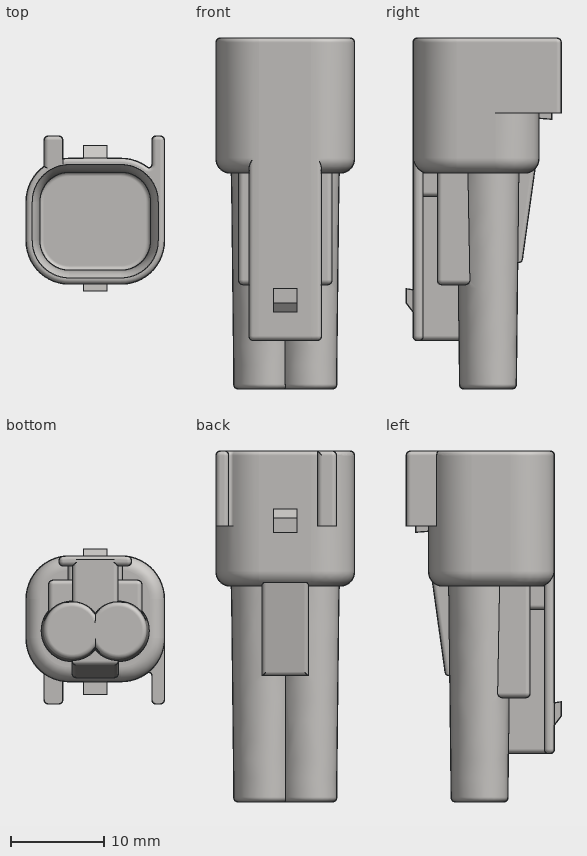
import cadquery as cq
import math

TOTAL_HEIGHT = 37.7
EDGE_RADIUS = 0.5
OVERLAP = 0.38

CUP_SIZE_X = 14.9
CUP_SIZE_Y = 13.55
CUP_HALF_X = CUP_SIZE_X / 2
CUP_HALF_Y = CUP_SIZE_Y / 2
CUP_CORNER_RADIUS = 4.67
CUP_BOTTOM = 23.2
CUP_BOTTOM_RADIUS = 1.55

WALL = 1.5
CAVITY_HALF_X = CUP_HALF_X - WALL
CAVITY_HALF_Y = CUP_HALF_Y - WALL
CAVITY_CORNER_RADIUS = CUP_CORNER_RADIUS - WALL
CAVITY_FLOOR = 24.3
FLOOR_RADIUS = 0.45
FLARE_WIDTH = 0.83
FLARE_RADIUS = 4.55

EAR_BACK = 9.15
EAR_FRONT = CUP_HALF_Y - CUP_CORNER_RADIUS
EAR_BOTTOM = 29.65
EAR_ROOT_RADIUS = 0.3
LEFT_EAR_X = (-5.5, -3.45)
RIGHT_EAR_X = (6.07, CUP_HALF_X)

SLEEVE_OFFSET_X = 2.5
SLEEVE_Y = 1.3
SLEEVE_BOTTOM_RADIUS = 3.05
SLEEVE_TOP_RADIUS = 3.3

PLATE_HALF_WIDTH = 3.9
PLATE_THICKNESS = 1.1
PLATE_BOTTOM = 5.2
PLATE_EDGE_RADIUS = 0.45
WEB_HALF_WIDTH = 2.45
WEB_HEAD_HALF_WIDTH = 2.9
WEB_HEAD_BOTTOM = 20.7
WEB_HEAD_EDGE_RADIUS = 0.4

CROSSBAR_HALF_WIDTH = 5.0
CROSSBAR_FRONT = -4.15
CROSSBAR_BACK = -0.45
CROSSBAR_BOTTOM = 11.2

WEDGE_HALF_WIDTH = SLEEVE_OFFSET_X
WEDGE_TOP_Y = 6.35
WEDGE_TOP = CUP_BOTTOM + OVERLAP
WEDGE_BOTTOM_Y = 4.95
WEDGE_BOTTOM = 13.57
WEDGE_EDGE_RADIUS = 0.45

LATCH_HALF_WIDTH = 1.3
LATCH_UNDERCUT = 0.1
LATCH_FLAT = 1.55
LATCH_RAMP = 0.98
FRONT_LATCH_TIP_Y = -7.5
FRONT_LATCH_TIP_Z = 10.8
REAR_LATCH_TIP_Y = 8.15
REAR_LATCH_TIP_Z = 28.95


def box(x_range, y_range, z_range):
    size = [high - low for low, high in (x_range, y_range, z_range)]
    corner = (x_range[0], y_range[0], z_range[0])
    return cq.Workplane("XY").box(*size, centered=False).translate(corner)


def symmetric_box(half_width, y_range, z_range):
    return box((-half_width, half_width), y_range, z_range)


def rounded_block(half_x, half_y, radius, bottom, top):
    block = symmetric_box(half_x, (-half_y, half_y), (bottom, top))
    return block.edges("|Z").fillet(radius)


def side_prism(points, half_width):
    """Prism along X, symmetric about X = 0, with a (y, z) outline."""
    return cq.Workplane("YZ").polyline(points).close().extrude(half_width, both=True)


def make_cup():
    cup = rounded_block(CUP_HALF_X, CUP_HALF_Y, CUP_CORNER_RADIUS, CUP_BOTTOM, TOTAL_HEIGHT)
    return cup.faces("<Z").edges().fillet(CUP_BOTTOM_RADIUS)


def make_ear(x_range):
    return box(x_range, (EAR_FRONT, EAR_BACK), (EAR_BOTTOM, TOTAL_HEIGHT))


def make_flare():
    """Bell-mouth ring that widens the cavity towards the rim."""
    depth = math.sqrt(FLARE_RADIUS**2 - (FLARE_RADIUS - FLARE_WIDTH) ** 2)
    start_z = TOTAL_HEIGHT - depth
    half_angle = math.asin(depth / FLARE_RADIUS) / 2
    arc_middle = (
        CAVITY_HALF_X + FLARE_RADIUS * (1 - math.cos(half_angle)),
        start_z + FLARE_RADIUS * math.sin(half_angle),
    )
    wall_block = rounded_block(
        CAVITY_HALF_X, CAVITY_HALF_Y, CAVITY_CORNER_RADIUS, start_z, TOTAL_HEIGHT
    )
    path = wall_block.faces("<Z").wires()
    profile = (
        cq.Workplane("XZ")
        .moveTo(CAVITY_HALF_X - OVERLAP, start_z)
        .lineTo(CAVITY_HALF_X, start_z)
        .threePointArc(arc_middle, (CAVITY_HALF_X + FLARE_WIDTH, TOTAL_HEIGHT))
        .lineTo(CAVITY_HALF_X - OVERLAP, TOTAL_HEIGHT)
        .close()
    )
    return profile.sweep(path)


def make_cavity():
    cavity = rounded_block(
        CAVITY_HALF_X, CAVITY_HALF_Y, CAVITY_CORNER_RADIUS, CAVITY_FLOOR, TOTAL_HEIGHT
    )
    cavity = cavity.faces("<Z").edges().fillet(FLOOR_RADIUS)
    return cavity.union(make_flare())


def make_left_ear():
    """Left ear: rounded on its outer and back sides, with a sharp inner top edge."""
    ear = make_ear(LEFT_EAR_X)
    ear = ear.edges("|Z and >Y and <X").fillet(EDGE_RADIUS)
    ear = ear.faces(">Z").edges("(not >X) and (not <Y)").fillet(EDGE_RADIUS)
    inner_corner = make_ear(LEFT_EAR_X).edges("|Z and >Y and >X").fillet(EDGE_RADIUS)
    return ear.intersect(inner_corner)


def make_head():
    """Cup with both ears, rounded rim and flared cavity."""
    head = make_cup().union(make_ear(RIGHT_EAR_X))
    margin = 0.05
    root_x = RIGHT_EAR_X[0]
    ear_root = cq.selectors.BoxSelector(
        (root_x - margin, EAR_FRONT, EAR_BOTTOM),
        (root_x + margin, CUP_HALF_Y, TOTAL_HEIGHT),
    )
    head = head.edges("|Z").edges(ear_root).fillet(EAR_ROOT_RADIUS)
    head = head.edges("|Z").edges(">Y").fillet(EDGE_RADIUS)
    head = head.faces(">Z").edges().fillet(EDGE_RADIUS)
    return head.union(make_left_ear()).cut(make_cavity())


def make_sleeve(x):
    taper = math.degrees(math.atan((SLEEVE_TOP_RADIUS - SLEEVE_BOTTOM_RADIUS) / CUP_BOTTOM))
    sleeve = cq.Workplane("XY").circle(SLEEVE_BOTTOM_RADIUS).extrude(CUP_BOTTOM + OVERLAP, taper=-taper)
    return sleeve.faces("<Z").edges().fillet(EDGE_RADIUS).translate((x, SLEEVE_Y, 0))


def make_plate():
    """Plate that carries the front surface of the cup down over the sleeves."""
    y_range = (-CUP_HALF_Y, PLATE_THICKNESS - CUP_HALF_Y)
    top = CUP_BOTTOM + CUP_BOTTOM_RADIUS
    plate = symmetric_box(PLATE_HALF_WIDTH, y_range, (PLATE_BOTTOM, top))
    cup_outline = rounded_block(CUP_HALF_X, CUP_HALF_Y, CUP_CORNER_RADIUS, PLATE_BOTTOM, top)
    plate = plate.intersect(cup_outline)
    plate = plate.edges("|Z").edges("<X or >X").fillet(PLATE_EDGE_RADIUS)
    return plate.faces("<Z").edges().fillet(PLATE_EDGE_RADIUS)


def make_web():
    """Web between plate and sleeves, stepping out to a wider head under the cup."""
    y_range = (OVERLAP - CUP_HALF_Y, SLEEVE_Y)
    top = CUP_BOTTOM + OVERLAP
    web = symmetric_box(WEB_HALF_WIDTH, y_range, (PLATE_BOTTOM, top))
    web = web.edges("|Y and <Z").fillet(EDGE_RADIUS)
    head = symmetric_box(WEB_HEAD_HALF_WIDTH, y_range, (WEB_HEAD_BOTTOM, top))
    head = head.edges("|Y and <Z").fillet(WEB_HEAD_EDGE_RADIUS)
    return web.union(head)


def make_crossbar():
    z_range = (CROSSBAR_BOTTOM, CUP_BOTTOM + OVERLAP)
    bar = symmetric_box(CROSSBAR_HALF_WIDTH, (CROSSBAR_FRONT, CROSSBAR_BACK), z_range)
    bar = bar.edges("|Z and <Y").fillet(EDGE_RADIUS)
    return bar.faces("<Z").edges().fillet(EDGE_RADIUS)


def make_wedge():
    outline = [
        (SLEEVE_Y, WEDGE_BOTTOM),
        (WEDGE_BOTTOM_Y, WEDGE_BOTTOM),
        (WEDGE_TOP_Y, WEDGE_TOP),
        (SLEEVE_Y, WEDGE_TOP),
    ]
    wedge = side_prism(outline, WEDGE_HALF_WIDTH)
    return wedge.faces(">Y").edges("not >Z").fillet(WEDGE_EDGE_RADIUS)


def make_latch(root_y, surface_y, tip_y, tip_z, ramp_direction):
    """Latch with an undercut catch at tip_z and a ramp that fades out at surface_y."""
    flat_end_z = tip_z + ramp_direction * LATCH_FLAT
    ramp_end_z = flat_end_z + ramp_direction * LATCH_RAMP
    outline = [
        (root_y, tip_z + ramp_direction * LATCH_UNDERCUT),
        (surface_y, tip_z + ramp_direction * LATCH_UNDERCUT),
        (tip_y, tip_z),
        (tip_y, flat_end_z),
        (surface_y, ramp_end_z),
        (root_y, ramp_end_z),
    ]
    return side_prism(outline, LATCH_HALF_WIDTH)


def make_front_latch():
    root_y = OVERLAP - CUP_HALF_Y
    return make_latch(root_y, -CUP_HALF_Y, FRONT_LATCH_TIP_Y, FRONT_LATCH_TIP_Z, -1)


def make_rear_latch():
    root_y = CUP_HALF_Y - OVERLAP
    return make_latch(root_y, CUP_HALF_Y, REAR_LATCH_TIP_Y, REAR_LATCH_TIP_Z, 1)


result = make_head()
for side in (-1, 1):
    result = result.union(make_sleeve(side * SLEEVE_OFFSET_X))
result = result.union(make_plate())
result = result.union(make_web())
result = result.union(make_crossbar())
result = result.union(make_wedge())
result = result.union(make_front_latch())
result = result.union(make_rear_latch())